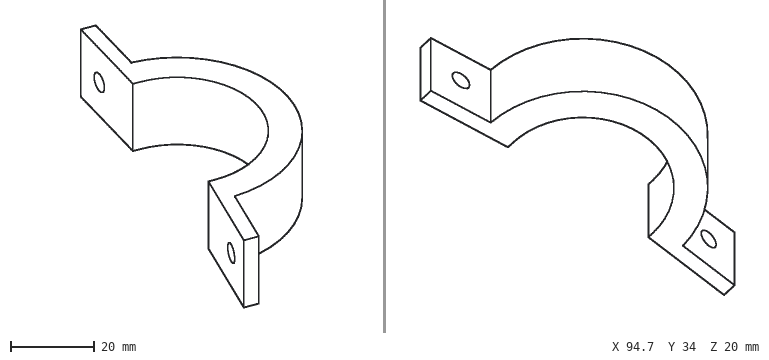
import cadquery as cq
import math

length = 94.7
width = 20.0
outer_radius = 30.0
inner_radius = 21.9
foot_drop = 4.0
foot_height = 4.0
foot_angle = 5.0
hole_diameter = 5.0
hole_offset = 38.4

half_length = length / 2
slope = math.tan(math.radians(foot_angle))


def underside_y(x):
    """Height of the sloping foot underside at distance x from the middle."""
    return -foot_drop + slope * (half_length - x)


def top_y(x):
    """Height of the sloping foot top face at distance x from the middle."""
    return underside_y(x) + foot_height


top_at_middle = top_y(0)
normal_distance = top_at_middle * math.cos(math.radians(foot_angle))
joint_angle = math.asin(normal_distance / outer_radius) - math.radians(foot_angle)
joint_x = outer_radius * math.cos(joint_angle)
joint_y = outer_radius * math.sin(joint_angle)

bracket = (
    cq.Workplane("XY")
    .moveTo(-half_length, underside_y(half_length))
    .lineTo(-half_length, top_y(half_length))
    .lineTo(-joint_x, joint_y)
    .threePointArc((0, outer_radius), (joint_x, joint_y))
    .lineTo(half_length, top_y(half_length))
    .lineTo(half_length, underside_y(half_length))
    .lineTo(inner_radius, underside_y(inner_radius))
    .lineTo(inner_radius, 0)
    .threePointArc((0, inner_radius), (-inner_radius, 0))
    .lineTo(-inner_radius, underside_y(inner_radius))
    .close()
    .extrude(width)
)


def foot_hole(side):
    """Screw hole square to the foot on the given side (-1 or 1)."""
    middle = cq.Vector(
        side * hole_offset,
        underside_y(hole_offset) + foot_height / 2,
        width / 2,
    )
    axis = cq.Vector(side * slope, 1, 0).normalized()
    depth = 2 * foot_height
    start = middle - axis * (depth / 2)
    return cq.Solid.makeCylinder(hole_diameter / 2, depth, start, axis)


for side in (-1, 1):
    bracket = bracket.cut(cq.Workplane(obj=foot_hole(side)))

result = bracket